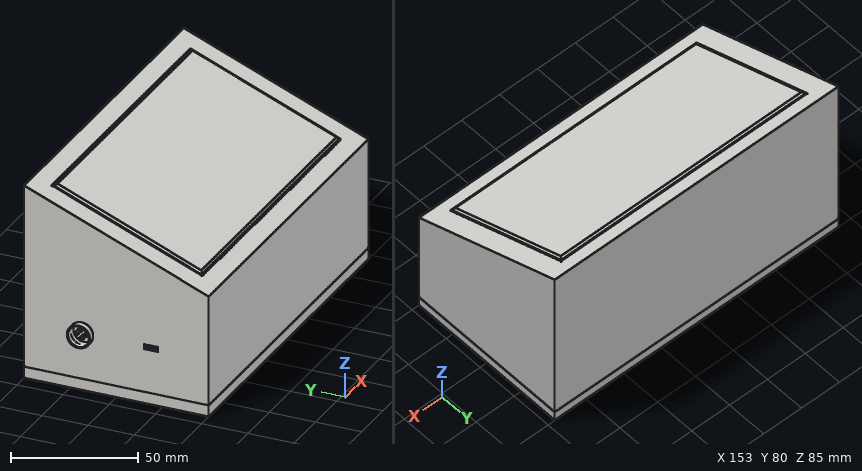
import cadquery as cq
import math

overall_x = 153.0
connector_reach = 3.0
case_x = overall_x - connector_reach
case_y = 80.0
base_height = 5.0
front_height = 53.1
back_height = 85.0

recess_length = 130.0
recess_width = 70.0
recess_depth = 1.0
display_gap = 0.5
display_rise = 1.0

socket_z = 25.0
socket_offset_y = 15.0

connector_diameter = 10.0
bore_diameter = 9.0
bore_depth = 5.0
connector_floor = 1.0
pin_diameter = 1.33
pin_length = 3.0
pin_circle_radius = 2.0
pin_count = 4

port_width = 6.0
port_height = 2.0
port_depth = 0.8
plug_width = 5.0
plug_height = 1.0
plug_corner = 0.54
plug_depth = 1.0
tongue_width = 3.7
tongue_height = 0.3

wall_x = -overall_x / 2 + connector_reach
case_mid_x = wall_x + case_x / 2
connector_tip_x = wall_x - connector_reach
connector_length = bore_depth + connector_floor
bore_floor_x = connector_tip_x + bore_depth
slope_angle = math.atan2(back_height - front_height, case_y)

slope_plane = cq.Plane(
    origin=(case_mid_x, 0, (front_height + back_height) / 2),
    xDir=(1, 0, 0),
    normal=(0, -math.sin(slope_angle), math.cos(slope_angle)),
)


def socket_sketch(x, y):
    """Workplane at a socket centre, parallel to the left wall; local X is +Y and extrusions go toward +X."""
    return cq.Workplane(cq.Plane(origin=(x, y, socket_z), xDir=(0, 1, 0), normal=(1, 0, 0)))


def connector_cylinder(diameter, length):
    """Cylinder on the connector axis, running inward from the connector's outer end."""
    return socket_sketch(connector_tip_x, socket_offset_y).circle(diameter / 2).extrude(length)


def plug_opening():
    """Space inside the port: an outline with two bevelled upper corners, less the tongue."""
    side = plug_width / 2
    low = -plug_height / 2
    high = plug_height / 2
    outline = [
        (-side, low),
        (side, low),
        (side, high - plug_corner),
        (side - plug_corner, high),
        (plug_corner - side, high),
        (-side, high - plug_corner),
    ]
    port_floor = socket_sketch(wall_x + port_depth, -socket_offset_y)
    opening = port_floor.polyline(outline).close().extrude(plug_depth)
    tongue = port_floor.rect(tongue_width, tongue_height).extrude(plug_depth)
    return opening.cut(tongue)


def make_base():
    return cq.Workplane("XY").center(case_mid_x, 0).rect(case_x, case_y).extrude(base_height)


def make_housing():
    """Wedge-topped block with the display recess, the connector hole and the port."""
    profile = [
        (-case_y / 2, base_height),
        (case_y / 2, base_height),
        (case_y / 2, back_height),
        (-case_y / 2, front_height),
    ]
    block = cq.Workplane("YZ", origin=(wall_x, 0, 0)).polyline(profile).close().extrude(case_x)
    display_recess = cq.Workplane(slope_plane).rect(recess_length, recess_width).extrude(-recess_depth)
    connector_hole = connector_cylinder(connector_diameter, connector_length)
    port = socket_sketch(wall_x, -socket_offset_y).rect(port_width, port_height).extrude(port_depth)
    return block.cut(display_recess).cut(connector_hole).cut(port).cut(plug_opening())


def make_display():
    """Panel lying on the recess floor, bevelled round its upper face."""
    display_length = recess_length - 2 * display_gap
    display_width = recess_width - 2 * display_gap
    return (
        cq.Workplane(slope_plane)
        .workplane(offset=-recess_depth)
        .rect(display_length, display_width)
        .extrude(recess_depth + display_rise)
        .faces(cq.selectors.DirectionMinMaxSelector(slope_plane.zDir, True))
        .chamfer(display_rise)
    )


def make_connector():
    """Cup, open at its outer end."""
    return connector_cylinder(connector_diameter, connector_length).cut(
        connector_cylinder(bore_diameter, bore_depth)
    )


def make_pin(angle):
    """Pin standing on the floor of the connector bore, at an angle round its axis."""
    return (
        socket_sketch(bore_floor_x, socket_offset_y)
        .center(pin_circle_radius * math.cos(angle), pin_circle_radius * math.sin(angle))
        .circle(pin_diameter / 2)
        .extrude(-pin_length)
    )


base = make_base()
housing = make_housing()
display = make_display()
connector = make_connector()
pins = [make_pin(2 * math.pi * index / pin_count) for index in range(pin_count)]

result = cq.Compound.makeCompound(
    [base.val(), housing.val(), display.val(), connector.val(), *[pin.val() for pin in pins]]
)